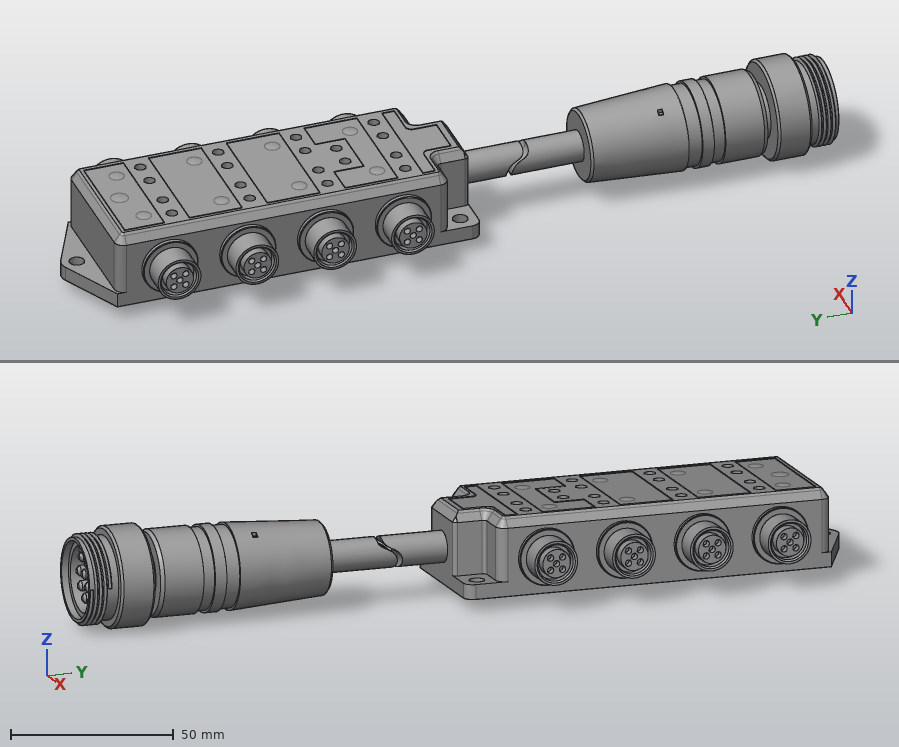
import cadquery as cq
import math

overall_length = 249.0
tab_tip_y = 129.2
rear_y = 119.0
half_width = 22.2
height = 25.0
side_height = 21.7
lid_slope_height = 2.5
lid_slope_inset = 1.7
rim_height = height - side_height - lid_slope_height
rim_bevel = 0.7
corner_radius = 3.0
shoulder_y = 10.5
nose_half_width = 10.5
inner_corner_radius = 1.2
nose_corner_radius = 1.2

plate_thickness = 4.7
mount_hole_diameter = 4.7
ear_hole_x = 17.0
ear_hole_y = 5.2
tab_radius = 5.0
tab_hole_y = tab_tip_y - tab_radius

port_count = 4
port_pitch = 25.5
first_port_y = 26.0
axis_z = 11.7
flange_radius = 9.0
flange_chamfer = 0.2
flange_x = 23.6
barrel_radius = 7.0
barrel_x = 31.4
cup_radius = 5.7
cup_depth = 3.0
cup_chamfer = 0.5
insert_radius = 4.5
insert_x = 31.74
contact_hole_radius = 1.0
contact_circle_radius = 2.7
contact_hole_depth = 2.5

lamp_diameter = 3.5
lamp_depth = 3.0
lamp_offset_y = -3.7
lamp_xs = (-14.2, -6.0, 6.0, 14.2)
status_lamp_x = 4.0
status_lamp_y = 38.0
button_diameter = 4.7
end_button_diameter = 5.5
button_height = 0.2
button_x = 12.2
button_offset_y = 4.7
end_button_y = 110.3

label_depth = 0.2
label_half_width = 18.5
label_offset_y = 0.2
label_length = 17.2
strip_width = port_pitch - label_length
rear_label_end_y = 115.2
label_notch_half_width = 8.5
label_notch_depth = 9.7
front_label_y = 14.0
label_corner_radius = 2.0
nose_label_half_width = 6.5
nose_label_y = 4.5

cable_radius = 5.0
break_gap = 1.7
break_curve = [(-20.5, 17.2), (-19.5, 14.5), (-16.0, 12.5), (-14.7, 10.5), (-15.7, 6.2)]

grip_start_y = -39.5
grip_start_radius = 11.7
grip_chamfer = 0.7
grip_end_y = -70.7
sleeve_radius = 13.7
groove_radius = 13.0
first_groove_end_y = -75.2
second_groove_y = -79.0
second_groove_end_y = -82.6
sleeve_end_y = -96.5
sleeve_chamfer = 1.2
neck_radius = 9.0
notch_size = 1.5
notch_x = 7.1
notch_y = -63.7
notch_floor_z = 22.2
nut_tip_y = tab_tip_y - overall_length
shell_start_y = -101.5
shell_end_y = -117.5
shell_radius = 12.2
shell_bore_radius = 10.5
socket_floor_y = -112.0
key_width = 5.2
key_height = 2.2
pin_radius = 1.62
pin_chamfer = 0.87
pin_tip_y = -116.5
pin_places = [(0, 4.7), (0, -2.7)] + [
    (side * x, z)
    for side in (-1, 1)
    for x, z in ((3.0, 0.7), (5.5, 5.7), (7.5, 0.7), (6.2, -3.7), (2.5, -6.7))
]

nut_start_y = -99.0
nut_end_y = -110.3
nut_radius = 16.0
nut_chamfer = 0.7
thread_root_radius = 13.2
thread_crest_radius = 14.2
thread_pitch = 1.5
thread_turns = 4
thread_half_base = 0.67
thread_overlap = 0.2
thread_start_y = -113.0

port_ys = [first_port_y + i * port_pitch for i in range(port_count)]


def cylinder_y(radius, start_y, end_y, x=0, z=axis_z):
    """Cylinder running towards -Y from start_y to end_y."""
    plane = cq.Plane(origin=(x, start_y, z), xDir=(1, 0, 0), normal=(0, -1, 0))
    return cq.Workplane(plane).circle(radius).extrude(start_y - end_y)


def revolve_about_cable_axis(profile):
    """Turn a closed outline of (radius, y) points about the cable axis."""
    plane = cq.Plane(origin=(0, 0, axis_z))
    return cq.Workplane(plane).polyline(profile).close().revolve(360, (0, 0), (0, 1))


def housing_block():
    """Main block with a narrower nose, sloped shoulders and a bevelled rim."""
    half_outline = [
        (nose_half_width, 0),
        (nose_half_width, shoulder_y),
        (half_width, shoulder_y),
        (half_width, rear_y),
    ]
    mirrored = [(-x, y) for x, y in reversed(half_outline)]
    block = cq.Workplane().polyline(half_outline + mirrored).close().extrude(side_height)

    for half_x, y, radius in (
        (half_width, rear_y, corner_radius),
        (half_width, shoulder_y, corner_radius),
        (nose_half_width, shoulder_y, inner_corner_radius),
        (nose_half_width, 0, nose_corner_radius),
    ):
        mid_z = side_height / 2
        left = cq.selectors.NearestToPointSelector((-half_x, y, mid_z))
        right = cq.selectors.NearestToPointSelector((half_x, y, mid_z))
        block = block.edges("|Z").edges(left + right).fillet(radius)

    slope = math.degrees(math.atan2(lid_slope_inset, lid_slope_height))
    rim_angle = math.degrees(math.atan2(rim_bevel, rim_height))
    block = block.faces(">Z").wires().toPending().workplane().extrude(lid_slope_height, taper=slope)
    return block.faces(">Z").wires().toPending().workplane().extrude(rim_height, taper=rim_angle)


def mounting_plate():
    """Thin base plate with two front ears and a rounded tab at the rear."""
    ears = (
        cq.Workplane()
        .rect(2 * half_width, rear_y)
        .extrude(plate_thickness)
        .translate((0, rear_y / 2, 0))
        .edges("|Z and <Y")
        .fillet(corner_radius)
    )
    rise = tab_hole_y - rear_y
    reach = math.hypot(half_width, rise)
    tangent_angle = math.atan2(-rise, half_width) + math.acos(tab_radius / reach)
    tangent_x = tab_radius * math.cos(tangent_angle)
    tangent_y = tab_hole_y + tab_radius * math.sin(tangent_angle)
    tab = (
        cq.Workplane()
        .moveTo(-half_width, rear_y - corner_radius)
        .lineTo(half_width, rear_y - corner_radius)
        .lineTo(half_width, rear_y)
        .lineTo(tangent_x, tangent_y)
        .threePointArc((0, tab_tip_y), (-tangent_x, tangent_y))
        .lineTo(-half_width, rear_y)
        .close()
        .extrude(plate_thickness)
    )
    return ears.union(tab)


def mounting_holes():
    places = [(-ear_hole_x, ear_hole_y), (ear_hole_x, ear_hole_y), (0, tab_hole_y)]
    return cq.Workplane().pushPoints(places).circle(mount_hole_diameter / 2).extrude(plate_thickness)


def port(side, y):
    """Round socket on one long side: flange, barrel and recessed contact insert."""
    plane = cq.Plane(origin=(0, y, axis_z), xDir=(0, 1, 0), normal=(side, 0, 0))
    face = cq.Workplane(plane)
    outer_face = ">X" if side > 0 else "<X"
    wall_x = half_width - corner_radius
    flange = face.workplane(offset=wall_x).circle(flange_radius).extrude(flange_x - wall_x)
    flange = flange.faces(outer_face).chamfer(flange_chamfer)
    barrel = (
        face.workplane(offset=wall_x)
        .circle(barrel_radius)
        .extrude(barrel_x - wall_x)
        .faces(outer_face)
        .workplane()
        .hole(2 * cup_radius, cup_depth)
    )
    cup_rim = cq.selectors.RadiusNthSelector(0)
    barrel = barrel.faces(outer_face).edges(cup_rim).chamfer(cup_chamfer)
    insert_base = barrel_x - cup_depth
    insert = face.workplane(offset=insert_base).circle(insert_radius).extrude(insert_x - insert_base)
    diagonal = contact_circle_radius / math.sqrt(2)
    contacts = (
        face.workplane(offset=insert_x - contact_hole_depth)
        .pushPoints([(0, 0)] + [(u * diagonal, v * diagonal) for u in (-1, 1) for v in (-1, 1)])
        .circle(contact_hole_radius)
        .extrude(contact_hole_depth)
    )
    return flange.union(barrel).union(insert).cut(contacts)


def field(start_y, end_y, half_x=label_half_width):
    """Flat rectangle that sinks into the top face by the label depth."""
    plate = cq.Workplane(origin=(0, (start_y + end_y) / 2, height))
    return plate.rect(2 * half_x, end_y - start_y).extrude(-label_depth)


def label_recesses():
    """Shallow label fields between the lamp strips; the front one follows the nose."""
    starts = [y + label_offset_y for y in port_ys]
    labels = field(starts[-1], rear_label_end_y)
    for start in starts[:-1]:
        labels = labels.union(field(start, start + label_length))
    first_end = starts[0] + label_length
    labels = labels.cut(field(first_end - label_notch_depth, first_end, label_notch_half_width))
    front_end = starts[0] - strip_width
    labels = labels.union(field(front_label_y, front_end))
    labels = labels.union(field(nose_label_y, front_end, nose_label_half_width))
    nose_corners = cq.selectors.BoxSelector(
        (-half_width / 2, front_label_y - label_depth, 0),
        (half_width / 2, front_label_y + label_depth, 2 * height),
    )
    return labels.edges("|Z").edges(nose_corners).fillet(label_corner_radius)


def lamp_holes():
    places = [(x, y + lamp_offset_y) for y in port_ys for x in lamp_xs]
    places += [(-status_lamp_x, status_lamp_y), (status_lamp_x, status_lamp_y)]
    top = cq.Workplane(origin=(0, 0, height))
    return top.pushPoints(places).circle(lamp_diameter / 2).extrude(-lamp_depth)


def buttons():
    """Low domes beside the ports and a wider one at the rear end."""
    places = [(side * button_x, y + button_offset_y, button_diameter) for y in port_ys for side in (-1, 1)]
    places.append((0, end_button_y, end_button_diameter))
    return [button(x, y, diameter / 2) for x, y, diameter in places]


def button(x, y, radius):
    sphere_radius = (radius**2 + button_height**2) / (2 * button_height)
    floor_z = height - label_depth
    sphere = cq.Workplane(origin=(x, y, floor_z + button_height - sphere_radius)).sphere(sphere_radius)
    post = cq.Workplane(origin=(x, y, floor_z)).circle(radius).extrude(2 * button_height)
    return sphere.intersect(post)


def cable_break_block():
    """Block on the housing side of the S-shaped cable break."""
    far_y = nose_corner_radius
    return (
        cq.Workplane("YZ")
        .moveTo(far_y, break_curve[0][1])
        .lineTo(*break_curve[0])
        .spline(break_curve[1:], includeCurrent=True)
        .lineTo(far_y, break_curve[-1][1])
        .close()
        .extrude(2 * cable_radius, both=True)
    )


def build_housing():
    housing = housing_block().union(mounting_plate()).cut(mounting_holes())
    for y in port_ys:
        for side in (-1, 1):
            housing = housing.union(port(side, y))
    housing = housing.cut(label_recesses()).cut(lamp_holes())
    for dome in buttons():
        housing = housing.union(dome)
    cable = cylinder_y(cable_radius, nose_corner_radius, grip_start_y)
    return housing.union(cable.intersect(cable_break_block()))


def build_connector():
    """Grip, neck and pin socket with the short cable piece that enters the grip."""
    profile = [
        (0, grip_start_y),
        (grip_start_radius - grip_chamfer, grip_start_y),
        (grip_start_radius, grip_start_y - grip_chamfer),
        (sleeve_radius, grip_end_y),
        (groove_radius, grip_end_y),
        (groove_radius, first_groove_end_y),
        (sleeve_radius, first_groove_end_y),
        (sleeve_radius, second_groove_y),
        (groove_radius, second_groove_y),
        (groove_radius, second_groove_end_y),
        (sleeve_radius, second_groove_end_y),
        (sleeve_radius, sleeve_end_y + sleeve_chamfer),
        (sleeve_radius - sleeve_chamfer / 2, sleeve_end_y),
        (neck_radius, sleeve_end_y),
        (neck_radius, shell_start_y),
        (shell_radius, shell_start_y),
        (shell_radius, shell_end_y),
        (shell_bore_radius, shell_end_y),
        (shell_bore_radius, socket_floor_y),
        (0, socket_floor_y),
    ]
    connector = revolve_about_cable_axis(profile)

    key_length = socket_floor_y - shell_end_y
    key_bottom = shell_bore_radius - key_height
    key = (
        cq.Workplane()
        .box(key_width, key_length, shell_radius - key_bottom)
        .translate((0, socket_floor_y - key_length / 2, axis_z + (shell_radius + key_bottom) / 2))
        .intersect(cylinder_y(shell_radius, socket_floor_y, shell_end_y))
    )
    connector = connector.union(key)

    for x, z in pin_places:
        pin = cylinder_y(pin_radius, socket_floor_y, pin_tip_y, x, axis_z + z)
        connector = connector.union(pin.faces("<Y").chamfer(pin_chamfer))

    notches = (
        cq.Workplane(origin=(0, notch_y, notch_floor_z))
        .pushPoints([(-notch_x, 0), (notch_x, 0)])
        .rect(notch_size, notch_size)
        .extrude(sleeve_radius)
    )
    connector = connector.cut(notches)

    shifted_block = cable_break_block().translate((0, -break_gap, 0))
    cable = cylinder_y(cable_radius, -break_gap, grip_start_y).cut(shifted_block)
    return connector.union(cable)


def thread_ridge():
    """Triangular ridge wound as a helix around the cable axis."""
    helix = cq.Wire.makeHelix(thread_pitch, thread_pitch * thread_turns, thread_root_radius)
    ridge = (
        cq.Workplane("XZ")
        .polyline([
            (thread_root_radius - thread_overlap, -thread_half_base),
            (thread_root_radius - thread_overlap, thread_half_base),
            (thread_crest_radius, 0),
        ])
        .close()
        .sweep(cq.Workplane(obj=helix), isFrenet=True)
    )
    return ridge.rotate((0, 0, 0), (1, 0, 0), 90).translate((0, thread_start_y, axis_z))


def build_coupling_nut():
    profile = [
        (neck_radius, nut_start_y),
        (nut_radius - nut_chamfer, nut_start_y),
        (nut_radius, nut_start_y - nut_chamfer),
        (nut_radius, nut_end_y + nut_chamfer),
        (nut_radius - nut_chamfer, nut_end_y),
        (thread_root_radius, nut_end_y),
        (thread_root_radius, nut_tip_y),
        (shell_radius, nut_tip_y),
        (shell_radius, shell_start_y),
        (neck_radius, shell_start_y),
    ]
    return revolve_about_cable_axis(profile).union(thread_ridge())


housing = build_housing()
connector = build_connector()
coupling_nut = build_coupling_nut()

result = cq.Compound.makeCompound([
    *housing.solids().vals(),
    *connector.solids().vals(),
    *coupling_nut.solids().vals(),
])